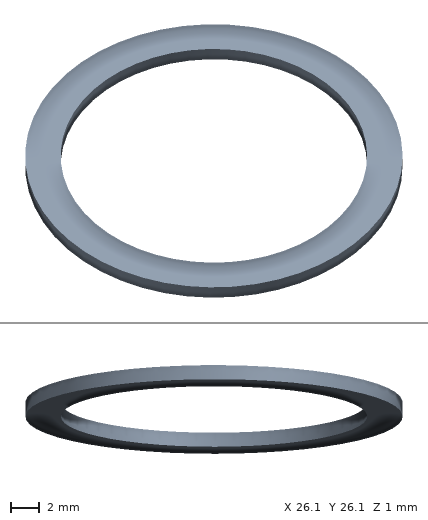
import cadquery as cq

outer_diameter = 26.1
inner_diameter = 21.2
thickness = 1.0

result = (
    cq.Workplane("XY")
    .circle(outer_diameter / 2)
    .circle(inner_diameter / 2)
    .extrude(thickness)
)